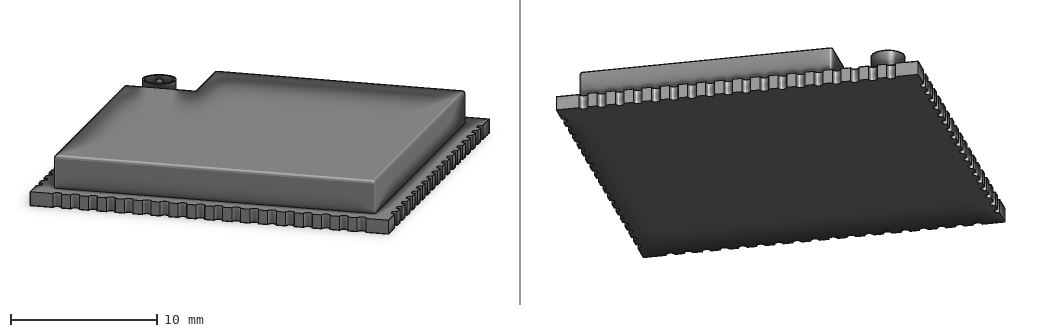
import cadquery as cq

board_size = 25.4
board_height = 1.0
total_height = 3.3

contacts_per_side = 18
contact_pitch = 1.27
pad_width = 0.8
pad_depth = 0.9
notch_diameter = 0.6

corner_block_size = 0.8
corner_block_height = 0.55

cover_margin = 1.3
cover_cutout = 5.0
cover_round = 0.23

connector_base_size = 2.97
connector_base_height = 0.5
connector_base_round = 0.23
barrel_diameter = 2.3
barrel_bore = 2.0
barrel_rise = 1.8
barrel_joint_rise = 1.05
pin_diameter = 0.5
pin_rise = barrel_rise
pin_tip_round = 0.2

half_board = board_size / 2
cover_size = board_size - 2 * cover_margin
cover_height = total_height - board_height
half_cover = cover_size / 2
connector_offset = half_board - cover_margin - connector_base_size / 2
first_contact = -contact_pitch * (contacts_per_side - 1) / 2


def upright_box(size_x, size_y, height, x, y, z=0):
    """Box standing on height z, centred on (x, y)."""
    box = cq.Workplane("XY").box(size_x, size_y, height, centered=(True, True, False))
    return box.translate((x, y, z))


def upright_cylinder(diameter, height, x, y, z=0):
    """Vertical cylinder standing on height z, centred on (x, y)."""
    return cq.Workplane("XY").circle(diameter / 2).extrude(height).translate((x, y, z))


def on_four_sides(side_feature):
    """Copies of a feature of the -Y side, turned onto all four sides."""
    copies = cq.Workplane("XY")
    for turn in range(4):
        copies.add(side_feature.rotate((0, 0, 0), (0, 0, 1), 90 * turn).vals())
    return copies


def contact_row(contact):
    """Row of copies of one contact feature, spaced along X."""
    row = cq.Workplane("XY")
    for index in range(contacts_per_side):
        row.add(contact.translate((first_contact + index * contact_pitch, 0, 0)).vals())
    return row


def make_board():
    """Square board whose pads and corner blocks stay outlined as separate faces."""
    pad = upright_box(pad_width, pad_depth, board_height, 0, -half_board + pad_depth / 2)
    notch = upright_cylinder(notch_diameter, board_height, 0, -half_board)
    inlays = on_four_sides(contact_row(pad)).vals()

    block_centre = half_board - corner_block_size / 2
    for side_x, side_y in ((-1, -1), (1, -1), (1, 1), (-1, 1)):
        full_height = side_x < 0 < side_y
        height = board_height if full_height else corner_block_height
        block = upright_box(
            corner_block_size, corner_block_size, height, side_x * block_centre, side_y * block_centre
        )
        inlays.append(block.val())

    board = upright_box(board_size, board_size, board_height, 0, 0).val()
    board = board.fuse(*inlays)
    return cq.Workplane(board.cut(*on_four_sides(contact_row(notch)).vals()))


def make_cover():
    """Shield cover, rounded on its upright outer edges and around its top."""
    cover = upright_box(cover_size, cover_size, cover_height, 0, 0, board_height)
    cutout_centre = half_cover - cover_cutout / 2
    cover = cover.cut(
        upright_box(cover_cutout, cover_cutout, cover_height, -cutout_centre, cutout_centre, board_height)
    )
    inner_corner = (-half_cover + cover_cutout, half_cover - cover_cutout, board_height)
    concave_edge = cq.selectors.NearestToPointSelector(inner_corner)
    cover = cover.edges(cq.selectors.SubtractSelector(cq.StringSyntaxSelector("|Z"), concave_edge))
    cover = cover.fillet(cover_round)
    return cover.faces(">Z").edges().fillet(cover_round)


def make_connector():
    """Connector with a square base, a tubular barrel and a centre pin."""
    x, y = -connector_offset, connector_offset
    base = upright_box(
        connector_base_size, connector_base_size, connector_base_height, x, y, board_height
    )
    base = base.edges("|Z").fillet(connector_base_round)
    base_top = board_height + connector_base_height
    barrel_joint = board_height + barrel_joint_rise
    barrel_top = board_height + barrel_rise
    lower_barrel = upright_cylinder(barrel_diameter, barrel_joint - base_top, x, y, base_top)
    upper_barrel = upright_cylinder(barrel_diameter, barrel_top - barrel_joint, x, y, barrel_joint)
    bore = upright_cylinder(barrel_bore, barrel_top - base_top, x, y, base_top)
    barrel = lower_barrel.union(upper_barrel, clean=False).cut(bore, clean=False)

    pin_height = board_height + pin_rise - base_top
    pin = upright_cylinder(pin_diameter, pin_height, x, y, base_top)
    pin = pin.faces(">Z").edges().fillet(pin_tip_round)
    return base.union(barrel, clean=False).union(pin, clean=False)


result = make_board().union(make_cover(), clean=False).union(make_connector(), clean=False)